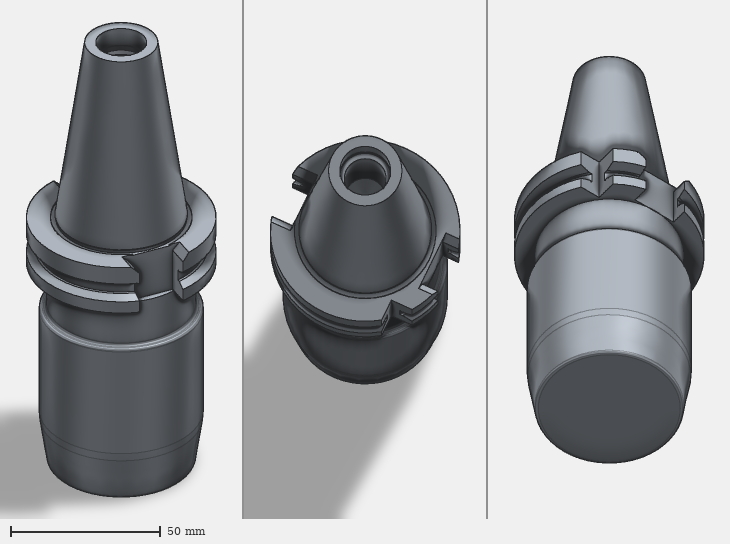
import cadquery as cq
import math


gauge_diameter = 44.45
taper_length = 68.25
taper_ratio = 7 / 24
taper_end_diameter = gauge_diameter - taper_ratio * taper_length

neck_diameter = 43.85
neck_chamfer_height = 0.5
face_recess_diameter = 47.4
face_recess_depth = 0.5

flange_diameter = 63.5
flange_top_z = -1.0
flange_bottom_z = -19.05
groove_center_z = -11.1
groove_mouth_width = 7.0
groove_side_angle = 30.0
groove_side_end_diameter = 58.0
groove_floor_diameter = 56.1

slot_width = 16.2
slot_chamfer = 2.6
slot_floor_left = 24.8
slot_floor_right = 22.7
notch_offset = 18.3

collar_diameter = 50.0
collar_fillet_radius = 1.0
body_diameter = 55.0
shoulder_z = -36.25
body_edge_radius = 1.0
body_bottom_z = -97.0
nose_blend_height = 3.0
nose_length = 19.4
nose_blend_start_z = body_bottom_z + nose_length
nose_cone_angle = 8.6
nose_edge_radius = 1.2

bore_guide_diameter = 17.01
bore_guide_depth = 6.8
bore_relief_diameter = 17.41
bore_relief_end_depth = 8.7
core_diameter = 14.0
core_start_depth = 9.3
core_depth = 32.0
drill_point_angle = 140.0


def revolve_profile(profile):
    """Turn a closed (radius, Z) outline about the Z axis."""
    return profile.close().revolve(360, (0, 0, 0), (0, 1, 0))


def make_shank():
    recess_z = flange_top_z - face_recess_depth
    side_depth = (flange_diameter - groove_side_end_diameter) / 2
    side_rise = side_depth * math.tan(math.radians(groove_side_angle))
    mouth_half = groove_mouth_width / 2
    floor_half = mouth_half - side_rise
    collar_radius = collar_diameter / 2

    cone_angle = math.radians(nose_cone_angle)
    blend_radius = nose_blend_height / math.sin(cone_angle)
    body_radius = body_diameter / 2

    def blend_point(angle):
        radius = body_radius - blend_radius * (1 - math.cos(angle))
        return (radius, nose_blend_start_z - blend_radius * math.sin(angle))

    cone_start_radius, cone_start_z = blend_point(cone_angle)
    cone_end_z = body_bottom_z + nose_edge_radius * (1 - math.sin(cone_angle))
    cone_end_radius = cone_start_radius - (cone_start_z - cone_end_z) * math.tan(cone_angle)

    edge_center_radius = cone_end_radius - nose_edge_radius * math.cos(cone_angle)
    edge_middle_angle = (cone_angle + math.pi / 2) / 2
    edge_middle = (
        edge_center_radius + nose_edge_radius * math.cos(edge_middle_angle),
        body_bottom_z + nose_edge_radius * (1 - math.sin(edge_middle_angle)),
    )

    profile = (
        cq.Workplane("XZ")
        .moveTo(0, taper_length)
        .lineTo(taper_end_diameter / 2, taper_length)
        .lineTo(gauge_diameter / 2, 0)
        .lineTo(neck_diameter / 2, -neck_chamfer_height)
        .lineTo(neck_diameter / 2, recess_z)
        .lineTo(face_recess_diameter / 2, recess_z)
        .lineTo(face_recess_diameter / 2, flange_top_z)
        .lineTo(flange_diameter / 2, flange_top_z)
        .lineTo(flange_diameter / 2, groove_center_z + mouth_half)
        .lineTo(groove_side_end_diameter / 2, groove_center_z + floor_half)
        .lineTo(groove_floor_diameter / 2, groove_center_z + floor_half)
        .lineTo(groove_floor_diameter / 2, groove_center_z - floor_half)
        .lineTo(groove_side_end_diameter / 2, groove_center_z - floor_half)
        .lineTo(flange_diameter / 2, groove_center_z - mouth_half)
        .lineTo(flange_diameter / 2, flange_bottom_z)
        .lineTo(collar_radius, flange_bottom_z)
        .lineTo(collar_radius, shoulder_z + collar_fillet_radius)
        .radiusArc((collar_radius + collar_fillet_radius, shoulder_z), -collar_fillet_radius)
        .lineTo(body_radius - body_edge_radius, shoulder_z)
        .radiusArc((body_radius, shoulder_z - body_edge_radius), body_edge_radius)
        .lineTo(body_radius, nose_blend_start_z)
        .threePointArc(blend_point(cone_angle / 2), (cone_start_radius, cone_start_z))
        .lineTo(cone_end_radius, cone_end_z)
        .threePointArc(edge_middle, (edge_center_radius, body_bottom_z))
        .lineTo(0, body_bottom_z)
    )
    return revolve_profile(profile)


def make_bore():
    point_depth = core_diameter / 2 / math.tan(math.radians(drill_point_angle / 2))
    profile = (
        cq.Workplane("XZ")
        .moveTo(0, taper_length)
        .lineTo(bore_guide_diameter / 2, taper_length)
        .lineTo(bore_guide_diameter / 2, taper_length - bore_guide_depth)
        .lineTo(bore_relief_diameter / 2, taper_length - bore_guide_depth)
        .lineTo(bore_relief_diameter / 2, taper_length - bore_relief_end_depth)
        .lineTo(core_diameter / 2, taper_length - core_start_depth)
        .lineTo(core_diameter / 2, taper_length - core_depth)
        .lineTo(0, taper_length - core_depth - point_depth)
    )
    return revolve_profile(profile)


def make_drive_slot(side, floor_distance):
    """Slot through the flange height, chamfered at its top; side is +1 for +X or -1 for -X."""
    half_width = slot_width / 2
    half_mouth = half_width + slot_chamfer
    profile = (
        cq.Workplane("YZ", origin=(side * floor_distance, 0, 0))
        .moveTo(-half_width, flange_bottom_z)
        .lineTo(half_width, flange_bottom_z)
        .lineTo(half_width, flange_top_z - slot_chamfer)
        .lineTo(half_mouth, flange_top_z)
        .lineTo(-half_mouth, flange_top_z)
        .lineTo(-half_width, flange_top_z - slot_chamfer)
        .close()
    )
    return profile.extrude(side * flange_diameter / 2)


def make_corner_notch():
    size = flange_diameter / 2
    height = flange_top_z - flange_bottom_z
    notch = cq.Workplane("XY").box(size, size, height, centered=False)
    return notch.translate((-notch_offset - size, notch_offset, flange_bottom_z))


result = (
    make_shank()
    .cut(make_bore())
    .cut(make_drive_slot(-1, slot_floor_left))
    .cut(make_drive_slot(1, slot_floor_right))
    .cut(make_corner_notch())
)